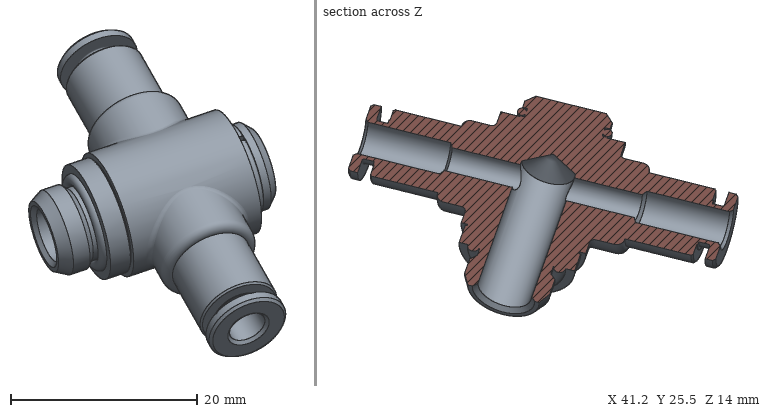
import cadquery as cq
import math


body_diameter = 14.0
body_half_length = 7.5
collar_diameter = 13.0
collar_end = -10.0
relief_diameter = 12.6
relief_width = 0.15

thread_diameter = 9.6
thread_neck_diameter = 8.3
thread_neck_end = -11.0
thread_end = -15.0
thread_lead_length = 1.4
thread_tip_diameter = 8.0

seal_outer_diameter = 11.0
seal_section_radius = (seal_outer_diameter - thread_neck_diameter) / 4

head_diameter = 9.85
head_end = 10.5
head_tip_diameter = 7.9
head_chamfer = (head_diameter - head_tip_diameter) / 2

groove_diameter = 8.75
groove_start = 7.6
groove_end = 8.65
ring_outer_diameter = 10.6
ring_section_radius = 0.5
ring_gap = 0.6
ring_gap_cutter_width = 4 * ring_section_radius

bore_diameter = 6.0
bore_mouth_diameter = 7.0
bore_full_depth_end = 2.0

drill_point_angle = 118.0

arm_end = 20.6
hub_diameter = 11.0
hub_end = 10.5
hub_edge_radius = 0.9
hub_root_radius = 0.5
sleeve_diameter = 9.0
sleeve_end = 18.1
sleeve_chamfer = 0.2
collet_ring_diameter = 6.0
collet_ring_end = 18.2
release_neck_diameter = 5.2
release_neck_fillet = 0.2
release_disc_diameter = 9.0
release_disc_start = 19.45
release_disc_chamfer = 0.3

passage_diameter = 3.0
tube_bore_diameter = 4.15
tube_mouth_diameter = 4.85
tube_bore_end = 11.0


def revolve_about_y(points):
    """Revolve an outline of (radius, y) points about the Y axis."""
    return cq.Workplane("XY").polyline(points).close().revolve(360, (0, 0, 0), (0, 1, 0))


def revolve_about_x(points):
    """Revolve an outline of (x, radius) points about the X axis."""
    return cq.Workplane("XY").polyline(points).close().revolve(360, (0, 0, 0), (1, 0, 0))


def ring_about_y(outer_diameter, section_radius, y_center):
    """Make a ring of round section about the Y axis."""
    center_radius = outer_diameter / 2 - section_radius
    section = cq.Workplane("XY").center(-center_radius, y_center).circle(section_radius)
    return section.revolve(360, (center_radius, 0, 0), (center_radius, 1, 0))


def drill_point_length(diameter_change):
    """Axial length over which a drill point narrows by the given diameter."""
    return diameter_change / 2 / math.tan(math.radians(drill_point_angle / 2))


def both_sides(right_arm_shape):
    """Join a shape of the +X arm with its mirror image on the -X side."""
    return right_arm_shape.union(right_arm_shape.mirror("YZ"))


def make_hubs_and_body():
    """Body cylinder with the two arm hubs, blended where they meet."""
    body = cq.Workplane("XZ").circle(body_diameter / 2).extrude(body_half_length, both=True)
    hubs = cq.Workplane("YZ").circle(hub_diameter / 2).extrude(hub_end, both=True)
    hubs = hubs.faces("<X or >X").edges().fillet(hub_edge_radius)
    joined = body.union(hubs)
    reach_x = body_diameter / 2 + hub_root_radius
    reach_y = hub_diameter / 2 + hub_root_radius
    root_zone = cq.selectors.BoxSelector(
        (-reach_x, -reach_y, -body_diameter),
        (reach_x, reach_y, body_diameter),
        boundingbox=True,
    )
    return joined.edges(root_zone).fillet(hub_root_radius)


def make_stem():
    """Collar, thread and head as one turned outline."""
    thread_neck_chamfer = (thread_diameter - thread_neck_diameter) / 2
    return revolve_about_y([
        (0, thread_end),
        (thread_tip_diameter / 2, thread_end),
        (thread_diameter / 2, thread_end + thread_lead_length),
        (thread_diameter / 2, thread_neck_end - thread_neck_chamfer),
        (thread_neck_diameter / 2, thread_neck_end),
        (thread_neck_diameter / 2, collar_end),
        (collar_diameter / 2, collar_end),
        (collar_diameter / 2, -body_half_length - relief_width),
        (relief_diameter / 2, -body_half_length - relief_width),
        (relief_diameter / 2, -body_half_length),
        (head_diameter / 2, -body_half_length),
        (head_diameter / 2, groove_start),
        (groove_diameter / 2, groove_start),
        (groove_diameter / 2, groove_end),
        (head_diameter / 2, groove_end),
        (head_diameter / 2, head_end - head_chamfer),
        (head_tip_diameter / 2, head_end),
        (0, head_end),
    ])


def make_seal():
    return ring_about_y(seal_outer_diameter, seal_section_radius, collar_end)


def make_snap_ring():
    """Snap ring with its gap on the +Z side."""
    ring_center = (groove_start + groove_end) / 2
    ring = ring_about_y(ring_outer_diameter, ring_section_radius, ring_center)
    gap = cq.Workplane("XY").box(
        ring_gap, ring_gap_cutter_width, ring_outer_diameter, centered=(True, True, False)
    )
    return ring.cut(gap.translate((0, ring_center, 0)))


def make_arm():
    """Sleeve and release collet of the +X arm."""
    sleeve_radius = sleeve_diameter / 2
    neck_radius = release_neck_diameter / 2
    disc_radius = release_disc_diameter / 2
    outline = (
        cq.Workplane("XY")
        .lineTo(0, sleeve_radius)
        .lineTo(sleeve_end - sleeve_chamfer, sleeve_radius)
        .lineTo(sleeve_end, sleeve_radius - sleeve_chamfer)
        .lineTo(sleeve_end, collet_ring_diameter / 2)
        .lineTo(collet_ring_end, collet_ring_diameter / 2)
        .lineTo(collet_ring_end, neck_radius)
        .lineTo(release_disc_start - release_neck_fillet, neck_radius)
        .tangentArcPoint((release_neck_fillet, release_neck_fillet))
        .lineTo(release_disc_start, disc_radius)
        .lineTo(arm_end - release_disc_chamfer, disc_radius)
        .lineTo(arm_end, disc_radius - release_disc_chamfer)
        .lineTo(arm_end, 0)
        .close()
    )
    return outline.revolve(360, (0, 0, 0), (1, 0, 0))


def make_passage():
    """Hollow of the +X arm: tube bore with a tapered seat, then the narrow passage."""
    seat_length = drill_point_length(tube_bore_diameter - passage_diameter)
    mouth_chamfer = (tube_mouth_diameter - tube_bore_diameter) / 2
    return revolve_about_x([
        (0, 0),
        (0, passage_diameter / 2),
        (tube_bore_end - seat_length, passage_diameter / 2),
        (tube_bore_end, tube_bore_diameter / 2),
        (arm_end - mouth_chamfer, tube_bore_diameter / 2),
        (arm_end, tube_mouth_diameter / 2),
        (arm_end, 0),
    ])


def make_bore():
    """Blind drilled bore of the stem with a chamfered mouth."""
    mouth_chamfer = (bore_mouth_diameter - bore_diameter) / 2
    point_length = drill_point_length(bore_diameter)
    return revolve_about_y([
        (0, thread_end),
        (bore_mouth_diameter / 2, thread_end),
        (bore_diameter / 2, thread_end + mouth_chamfer),
        (bore_diameter / 2, bore_full_depth_end),
        (0, bore_full_depth_end + point_length),
    ])


result = (
    make_hubs_and_body()
    .union(both_sides(make_arm()))
    .union(make_stem())
    .union(make_seal())
    .union(make_snap_ring())
    .cut(both_sides(make_passage()))
    .cut(make_bore())
)